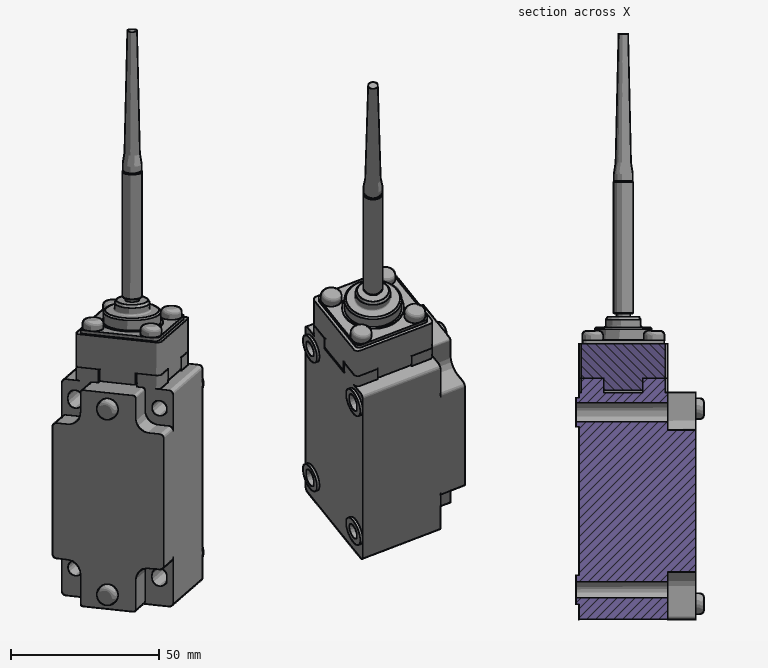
import cadquery as cq
import math

total_height = 197.8

housing_width = 40.0
housing_height = 76.7
housing_front = 24.5
housing_round = 1.5
notch_wall = 9.9
notch_height_top = 12.7
notch_height_base = 16.0
notch_round = 4.7
notch_lip_round = 1.5
wall_end_round = 1.0
mount_spacing_x = 30.0
mount_spacing_z = 60.0
mount_base_z = 10.0
mount_hole_diameter = 5.3
mount_slot_length = 6.3
mount_pad_radius = 5.0
mount_pad_height = 1.0

post_height = 4.7
post_inner_x = 7.0
post_inner_y = 6.5
tongue_side_gap = 0.5
tongue_bottom_gap = 0.5

head_width = 30.5
head_depth = 30.0
head_top = 94.4
head_corner_round = 1.5
head_step_inset = 1.2
head_step_height = 1.2
boss_radius = 9.7
boss_top = 98.7
boss_chamfer = 0.5
boss_foot_radius = 10.5
boss_foot_height = 0.2
neck_radius = 6.0
neck_top = 102.3
neck_rim_inset = 0.5
neck_rim_height = 1.0
neck_foot_round = 0.5

screw_radius = 3.5
screw_round = 1.5
head_screw_height = 3.2
head_screw_spacing = 20.8
cover_screw_height = 2.8
cover_screw_base_z = 5.3
cover_screw_top_inset = 5.5

stem_radius = 2.4
stem_height = 1.0
tube_radius = 3.4
tube_top = 148.2
tube_chamfer = 0.4
collar_top = 150.5
collar_diameter = 6.5
taper_bottom = 154.3
taper_bottom_diameter = 5.3
tip_radius = 1.68

head_back = head_depth / 2
notch_depth = housing_front - head_back
post_top = housing_height + post_height
mid_height = housing_height / 2
head_screw_offset = head_screw_spacing / 2


def front_to_back(profile, front_y, depth):
    """Extrude an XZ profile from front_y toward +Y."""
    return profile.extrude(-depth).translate((0, front_y, 0))


def arc_corner_gap(radius):
    """Distance along each axis from a square corner to the middle of the arc that rounds it."""
    return radius * (1 - math.sqrt(0.5))


def head_block(bottom, top, inset=0.0):
    """Upright block with the head's rounded corners, narrowed by inset on every side."""
    plane = cq.Workplane("XY", origin=(0, 0, bottom))
    block = plane.rect(head_width - 2 * inset, head_depth - 2 * inset)
    return block.extrude(top - bottom).edges("|Z").fillet(head_corner_round)


def crossing_bars(half_x, half_y, bottom, top):
    """Two crossing bars: one along Y of half width half_x, one along X of half width half_y."""
    plane = cq.Workplane("XY", origin=(0, 0, bottom))
    along_y = plane.rect(2 * half_x, head_depth).extrude(top - bottom)
    along_x = plane.rect(head_width, 2 * half_y).extrude(top - bottom)
    return along_y.union(along_x)


def screw_head(height):
    """Round screw head standing on the XY plane, with a rounded rim and a flat top."""
    return cq.Workplane("XY").circle(screw_radius).extrude(height).faces(">Z").edges().fillet(screw_round)


def rear_housing():
    """Rear part of the housing, as wide as the whole housing."""
    outline = cq.Workplane("XZ").center(0, mid_height).rect(housing_width, housing_height)
    block = front_to_back(outline, -head_back, head_depth)
    return block.edges("|Y").fillet(housing_round)


def corner_notch(side, top):
    """Notch at the front: side is -1 or 1 along X, top is -1 (base) or 1 (top)."""
    wall_x = side * notch_wall
    edge_x = side * housing_width / 2
    end_z = mid_height + top * mid_height
    floor_z = end_z - top * (notch_height_top if top > 0 else notch_height_base)
    inner_gap = arc_corner_gap(notch_round)
    lip_gap = arc_corner_gap(notch_lip_round)
    wall_gap = arc_corner_gap(wall_end_round)
    profile = (
        cq.Workplane("XZ")
        .moveTo(wall_x - side * wall_end_round, end_z)
        .threePointArc(
            (wall_x - side * wall_gap, end_z - top * wall_gap),
            (wall_x, end_z - top * wall_end_round),
        )
        .lineTo(wall_x, floor_z + top * notch_round)
        .threePointArc(
            (wall_x + side * inner_gap, floor_z + top * inner_gap),
            (wall_x + side * notch_round, floor_z),
        )
        .lineTo(edge_x - side * notch_lip_round, floor_z)
        .threePointArc(
            (edge_x - side * lip_gap, floor_z - top * lip_gap),
            (edge_x, floor_z - top * notch_lip_round),
        )
        .lineTo(edge_x, end_z)
        .close()
    )
    return front_to_back(profile, -housing_front, notch_depth)


def front_housing():
    """Front part of the housing, notched at its four corners."""
    outline = cq.Workplane("XZ").center(0, mid_height).rect(housing_width, housing_height)
    block = front_to_back(outline, -housing_front, notch_depth)
    for side in (-1, 1):
        for top in (-1, 1):
            block = block.cut(corner_notch(side, top))
    return block


def corner_posts():
    """Four posts on top of the housing that carry the head."""
    block = head_block(housing_height, post_top)
    return block.cut(crossing_bars(post_inner_x, post_inner_y, housing_height, post_top))


def make_housing():
    housing = rear_housing().union(front_housing()).union(corner_posts())

    for side in (-1, 1):
        for top in (-1, 1):
            x = side * mount_spacing_x / 2
            z = mount_base_z + (mount_spacing_z if top > 0 else 0)
            pad = cq.Workplane("XZ").center(x, z).circle(mount_pad_radius)
            housing = housing.union(front_to_back(pad, head_back, mount_pad_height))
            hole = cq.Workplane("XZ").center(x, z)
            if side == top:
                hole = hole.circle(mount_hole_diameter / 2)
            else:
                hole = hole.slot2D(mount_slot_length, mount_hole_diameter, 90)
            housing = housing.cut(front_to_back(hole, -head_back, head_depth + mount_pad_height))

    for z in (cover_screw_base_z, housing_height - cover_screw_top_inset):
        screw = screw_head(cover_screw_height).rotate((0, 0, 0), (1, 0, 0), 90)
        housing = housing.union(screw.translate((0, -housing_front, z)))
    return housing


def boss_and_neck():
    """Boss on a thin foot ring, and the bevelled neck on top of it, turned about Z."""
    foot_top = head_top + boss_foot_height
    neck_foot_gap = arc_corner_gap(neck_foot_round)
    return (
        cq.Workplane("XZ")
        .moveTo(0, head_top)
        .lineTo(boss_foot_radius, head_top)
        .lineTo(boss_foot_radius, foot_top)
        .lineTo(boss_radius, foot_top)
        .lineTo(boss_radius, boss_top - boss_chamfer)
        .lineTo(boss_radius - boss_chamfer, boss_top)
        .lineTo(neck_radius + neck_foot_round, boss_top)
        .threePointArc(
            (neck_radius + neck_foot_gap, boss_top + neck_foot_gap),
            (neck_radius, boss_top + neck_foot_round),
        )
        .lineTo(neck_radius, neck_top - neck_rim_height)
        .lineTo(neck_radius - neck_rim_inset, neck_top)
        .lineTo(0, neck_top)
        .close()
        .revolve(360, (0, 0, 0), (0, 1, 0))
    )


def make_head():
    shoulder = head_top - head_step_height
    head = head_block(post_top, shoulder).union(head_block(shoulder, head_top, head_step_inset))

    tongue_bottom = housing_height + tongue_bottom_gap
    head = head.union(crossing_bars(post_inner_x - tongue_side_gap, post_inner_y, tongue_bottom, post_top))
    head = head.union(boss_and_neck())

    for x in (-head_screw_offset, head_screw_offset):
        for y in (-head_screw_offset, head_screw_offset):
            head = head.union(screw_head(head_screw_height).translate((x, y, head_top)))
    return head


def make_rod():
    """Stem, straight tube, collar, short cone and long tapered tip, turned about Z."""
    tube_bottom = neck_top + stem_height
    chamfered_radius = tube_radius - tube_chamfer
    return (
        cq.Workplane("XZ")
        .moveTo(0, neck_top)
        .lineTo(stem_radius, neck_top)
        .lineTo(stem_radius, tube_bottom)
        .lineTo(chamfered_radius, tube_bottom)
        .lineTo(tube_radius, tube_bottom + tube_chamfer)
        .lineTo(tube_radius, tube_top - tube_chamfer)
        .lineTo(chamfered_radius, tube_top)
        .lineTo(collar_diameter / 2, tube_top)
        .lineTo(collar_diameter / 2, collar_top)
        .lineTo(taper_bottom_diameter / 2, taper_bottom)
        .lineTo(tip_radius, total_height)
        .lineTo(0, total_height)
        .close()
        .revolve(360, (0, 0, 0), (0, 1, 0))
    )


housing = make_housing()
head = make_head()
rod = make_rod()

result = cq.Compound.makeCompound([housing.val(), head.val(), rod.val()])